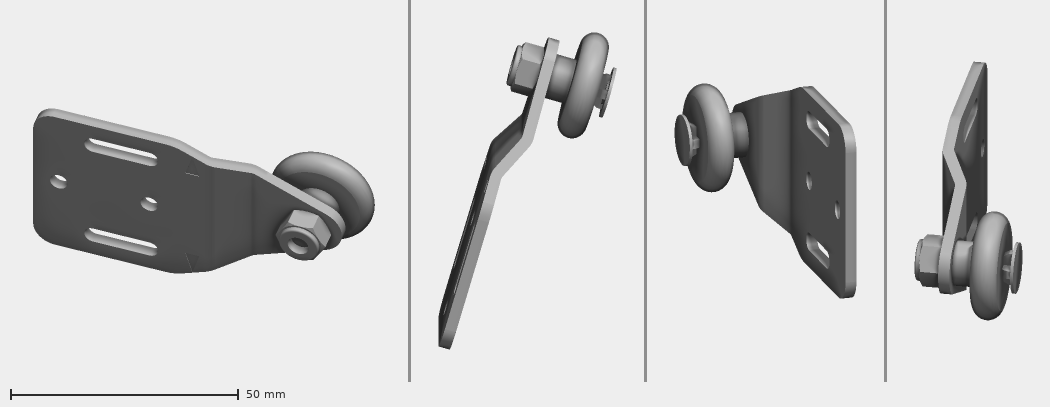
import cadquery as cq
import math


plate_width = 40.0
plate_thickness = 2.5
rear_corner_radius = 5.0
taper_start_x = 32.7
taper_angle = 23.2
taper_corner_radius = 10.0
nose_radius = 6.1
apex_x = taper_start_x + plate_width / 2 / math.tan(math.radians(taper_angle))

joggle_start_x = 39.95
joggle_offset = 4.5
joggle_angle = 28.0
bend_inner_radius = 1.85
bend_outer_radius = bend_inner_radius + plate_thickness

hole_diameter = 4.1
rear_hole_x = 5.9
front_hole_x = 26.9
slot_length = 17.15
slot_right_x = 29.0
slot_offset_z = 14.05
mark_x = 36.9
mark_tip_z = 18.1
mark_length = 5.6
mark_width = 3.25
mark_depth = 0.15

tyre_outer_diameter = 24.0
tyre_side_diameter = 19.5
tyre_inner_diameter = 18.0
wheel_width = 6.0
spacer_diameter = 10.0
spacer_length = 4.8
axle_x = 74 - tyre_outer_diameter / 2

nut_across_flats = 10.0
nut_across_corners = nut_across_flats / math.cos(math.radians(30))
nut_hex_height = 4.9
nut_chamfer_angle = 30.0
collar_diameter = 9.2
collar_height = 1.1
collar_fillet = 0.45
nut_height = nut_hex_height + collar_height

shank_diameter = 4.9
shank_end_recess = 2.2
cap_diameter = 11.3
cap_thickness = 0.7
boss_diameter = 5.6
boss_height = 0.45
rib_height = 2.3
rib_width = 1.9
rib_base_span = 7.6
rib_tip_span = 6.3
rib_straight_height = 1.1

lug_front_y = joggle_offset
lug_back_y = lug_front_y + plate_thickness
nut_face_y = lug_front_y - nut_height
wheel_front_y = lug_back_y + spacer_length
wheel_back_y = wheel_front_y + wheel_width
cap_front_y = wheel_back_y + rib_height
shank_end_y = nut_face_y + shank_end_recess


def axial_plane(y, x=axle_x):
    """Sketch plane facing +Y at the given depth; local y is -Z."""
    return cq.Workplane(cq.Plane(origin=(x, y, 0), xDir=(1, 0, 0), normal=(0, 1, 0)))


def cylinder(diameter, start_y, end_y):
    """Round bar on the wheel axis."""
    return axial_plane(start_y).circle(diameter / 2).extrude(end_y - start_y)


def plate_outline_prism():
    """Flat outline of the plate, extruded through the full joggle depth."""
    half_width = plate_width / 2
    outline = [
        (0, -half_width),
        (taper_start_x, -half_width),
        (apex_x, 0),
        (taper_start_x, half_width),
        (0, half_width),
    ]
    prism = axial_plane(0, x=0).polyline(outline).close().extrude(lug_back_y)
    prism = prism.edges("|Y and <X").fillet(rear_corner_radius)
    prism = prism.edges("|Y and >X").fillet(nose_radius)
    for side in (-1, 1):
        corner = cq.selectors.NearestToPointSelector((taper_start_x, lug_back_y / 2, side * half_width))
        prism = prism.edges("|Y").edges(corner).fillet(taper_corner_radius)
    return prism


def joggled_sheet():
    """Bent sheet of constant thickness, wider and longer than the plate outline."""
    angle = math.radians(joggle_angle)
    half_sin = math.sin(angle / 2)
    half_cos = math.cos(angle / 2)
    radius_sum = bend_inner_radius + bend_outer_radius
    ramp_length = (joggle_offset - radius_sum * (1 - math.cos(angle))) / math.sin(angle)
    joggle_end_x = joggle_start_x + radius_sum * math.sin(angle) + ramp_length * math.cos(angle)
    first_center_y = bend_outer_radius
    second_center_y = joggle_offset - bend_inner_radius

    def first_bend(radius, sine, cosine):
        return joggle_start_x + radius * sine, first_center_y - radius * cosine

    def second_bend(radius, sine, cosine):
        return joggle_end_x - radius * sine, second_center_y + radius * cosine

    full_sin = math.sin(angle)
    full_cos = math.cos(angle)
    profile = (
        cq.Workplane("XY", origin=(0, 0, -plate_width))
        .moveTo(0, 0)
        .lineTo(joggle_start_x, 0)
        .threePointArc(
            first_bend(bend_outer_radius, half_sin, half_cos),
            first_bend(bend_outer_radius, full_sin, full_cos),
        )
        .lineTo(*second_bend(bend_inner_radius, full_sin, full_cos))
        .threePointArc(
            second_bend(bend_inner_radius, half_sin, half_cos),
            (joggle_end_x, lug_front_y),
        )
        .lineTo(apex_x, lug_front_y)
        .lineTo(apex_x, lug_back_y)
        .lineTo(joggle_end_x, lug_back_y)
        .threePointArc(
            second_bend(bend_outer_radius, half_sin, half_cos),
            second_bend(bend_outer_radius, full_sin, full_cos),
        )
        .lineTo(*first_bend(bend_inner_radius, full_sin, full_cos))
        .threePointArc(
            first_bend(bend_inner_radius, half_sin, half_cos),
            (joggle_start_x, plate_thickness),
        )
        .lineTo(0, plate_thickness)
        .close()
    )
    return profile.extrude(2 * plate_width)


def edge_mark(side):
    """Shallow triangle cutter pointing at the tapered edge on one side."""
    tip_z = side * mark_tip_z
    base_z = side * (mark_tip_z - mark_length)
    corners = [
        (mark_x - mark_width / 2, base_z),
        (mark_x + mark_width / 2, base_z),
        (mark_x, tip_z),
    ]
    return cq.Workplane("XZ").polyline(corners).close().extrude(-mark_depth)


def make_plate():
    plate = plate_outline_prism().intersect(joggled_sheet())

    fixing_holes = (
        axial_plane(0, x=0)
        .pushPoints([(rear_hole_x, 0), (front_hole_x, 0)])
        .circle(hole_diameter / 2)
        .extrude(plate_thickness)
    )
    slots = (
        axial_plane(0, x=slot_right_x - slot_length / 2)
        .pushPoints([(0, -slot_offset_z), (0, slot_offset_z)])
        .slot2D(slot_length, hole_diameter)
        .extrude(plate_thickness)
    )
    plate = plate.cut(fixing_holes).cut(slots)
    plate = plate.cut(cylinder(shank_diameter, lug_front_y, lug_back_y))
    for side in (-1, 1):
        plate = plate.cut(edge_mark(side))
    return plate


def make_nut():
    """Hexagon chamfered at both ends, with a round collar on its outer end."""
    hexagon = (
        axial_plane(lug_front_y - nut_hex_height)
        .polygon(6, nut_across_corners)
        .extrude(nut_hex_height)
    )
    chamfer_radial = (nut_across_corners - nut_across_flats) / 2
    chamfer_axial = chamfer_radial * math.tan(math.radians(nut_chamfer_angle))
    chamfer_envelope = (
        cylinder(nut_across_corners, lug_front_y - nut_hex_height, lug_front_y)
        .faces("<Y or >Y")
        .edges()
        .chamfer(chamfer_axial, chamfer_radial)
    )
    collar = (
        cylinder(collar_diameter, nut_face_y, lug_front_y)
        .faces("<Y")
        .edges()
        .fillet(collar_fillet)
    )
    bore = cylinder(shank_diameter, nut_face_y, lug_front_y)
    return hexagon.intersect(chamfer_envelope).union(collar).cut(bore)


def make_tyre():
    """Ring with flat sides and a rounded tread."""
    half_width = wheel_width / 2
    inner_radius = tyre_inner_diameter / 2
    side_radius = tyre_side_diameter / 2
    section = (
        cq.Workplane("XY", origin=(axle_x, wheel_front_y + half_width, 0))
        .moveTo(inner_radius, -half_width)
        .lineTo(side_radius, -half_width)
        .threePointArc((tyre_outer_diameter / 2, 0), (side_radius, half_width))
        .lineTo(inner_radius, half_width)
        .close()
    )
    return section.revolve(360, (0, 0, 0), (0, 1, 0))


def make_hub():
    """Wheel disc with the spacer that stands it off the plate."""
    disc = cylinder(tyre_inner_diameter, wheel_front_y, wheel_back_y)
    spacer = cylinder(spacer_diameter, lug_back_y, wheel_front_y)
    bore = cylinder(shank_diameter, lug_back_y, wheel_back_y)
    return disc.union(spacer).cut(bore)


def cap_rib():
    """Rib across the underside of the cap, along X, narrowing towards the wheel."""
    profile = [
        (-rib_base_span / 2, 0),
        (rib_base_span / 2, 0),
        (rib_base_span / 2, -rib_straight_height),
        (rib_tip_span / 2, -rib_height),
        (-rib_tip_span / 2, -rib_height),
        (-rib_base_span / 2, -rib_straight_height),
    ]
    plane = cq.Workplane("XY", origin=(axle_x, cap_front_y, 0))
    return plane.polyline(profile).close().extrude(rib_width / 2, both=True)


def make_bolt():
    """Shank with a thin round cap carried on crossed ribs."""
    bolt = cylinder(shank_diameter, shank_end_y, wheel_back_y)
    bolt = bolt.union(cylinder(cap_diameter, cap_front_y, cap_front_y + cap_thickness))
    bolt = bolt.union(cylinder(boss_diameter, cap_front_y - boss_height, cap_front_y))
    for angle in (0, 90):
        bolt = bolt.union(cap_rib().rotate((axle_x, 0, 0), (axle_x, 1, 0), angle))
    return bolt


plate = make_plate()
nut = make_nut()
tyre = make_tyre()
hub = make_hub()
bolt = make_bolt()

result = cq.Compound.makeCompound([plate.val(), nut.val(), tyre.val(), hub.val(), bolt.val()])